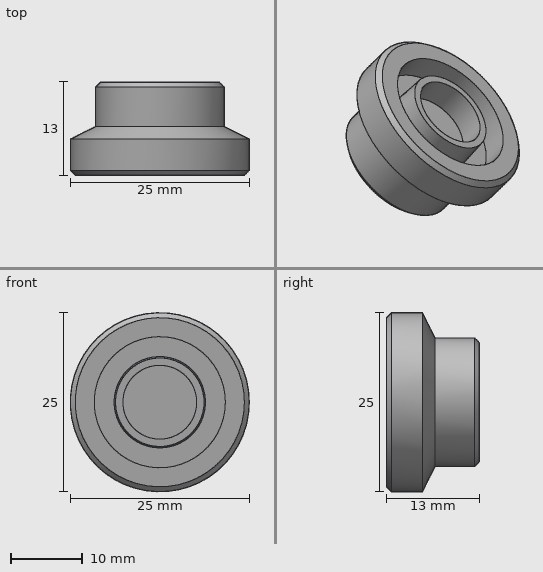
import cadquery as cq

length = 13.0
flange_diameter = 25.0
hub_diameter = 18.0
flange_width = 5.05
shoulder_length = 1.75
edge_chamfer = 0.7

recess_diameter = 18.3
recess_depth = 4.0
post_tip_diameter = 12.35
post_base_diameter = 12.75

bore_diameter = 10.3
bore_depth = 4.0

front = -length / 2
back = length / 2
flange_radius = flange_diameter / 2
hub_radius = hub_diameter / 2
flange_back = front + flange_width
hub_start = flange_back + shoulder_length
recess_floor = front + recess_depth
bore_floor = front + bore_depth


def revolve_profile(points):
    """Revolve a closed (radius, y) outline about the Y axis."""
    return cq.Workplane("XY").polyline(points).close().revolve(360, (0, 0, 0), (0, 1, 0))


body = revolve_profile([
    (0, front),
    (flange_radius - edge_chamfer, front),
    (flange_radius, front + edge_chamfer),
    (flange_radius, flange_back),
    (hub_radius, hub_start),
    (hub_radius, back - edge_chamfer),
    (hub_radius - edge_chamfer, back),
    (0, back),
])

recess = revolve_profile([
    (post_tip_diameter / 2, front),
    (recess_diameter / 2, front),
    (recess_diameter / 2, recess_floor),
    (post_base_diameter / 2, recess_floor),
])

bore = revolve_profile([
    (0, front),
    (bore_diameter / 2, front),
    (bore_diameter / 2, bore_floor),
    (0, bore_floor),
])

result = body.cut(recess).cut(bore)